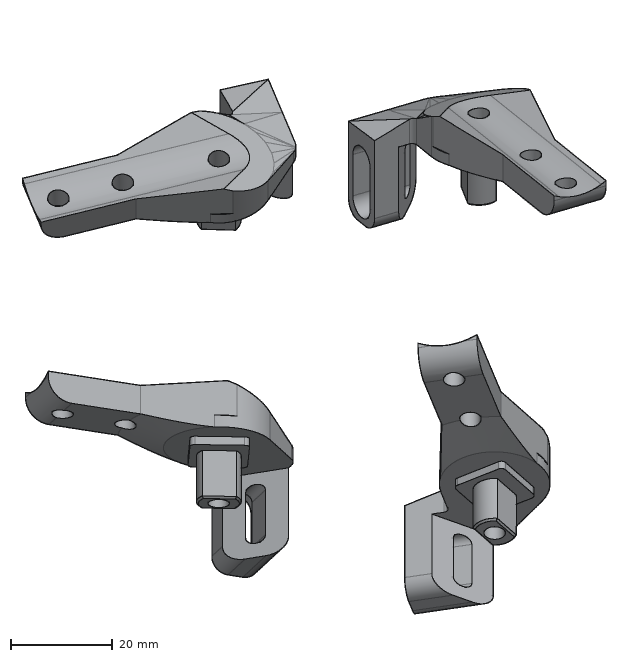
import cadquery as cq
import math


HEAD_R = 10.95
RIM_H = 2.55
ARM_HALF_W = 6.0
ARM_END_Y = -38.9
TAPER_START_Y = -0.6
TAPER_END_Y = -19.2
ARM_BOTTOM_Z = 2.0
CONE_END_R = 20.05
TIP_R = 5.0
TIP_CENTER_Z = ARM_BOTTOM_Z + TIP_R
HOLE_D = 4.25
HOLE_YS = (0, -20.0, -33.4)

PEAK_Y = -2.4
PEAK_Z = 10.1
HEAD_SLOPE = 0.405
GROOVE_ANGLE = math.radians(23.5)
GROOVE_R = 12.25
GROOVE_Z = 6.6

BRACKET_X = -20.05
BRACKET_BACK_Y = 16.75
BRACKET_W = 10.1
BRACKET_FRONT_Y = BRACKET_BACK_Y - BRACKET_W
BRACKET_MID_Y = BRACKET_BACK_Y - BRACKET_W / 2
BRACKET_BOTTOM_Z = -18.05
BRACKET_CORNER_R = 3.45
LEG_LENGTH = 5.55
BACK_CORNER_R = 4.0
INNER_CORNER_R = 1.0
SLOT_MID_Z = -8.75
SLOT_W = 3.0
SLOT_H = 12.6
RECESS_W = 6.6
RECESS_H = 16.0
RECESS_DEPTH = 5.0

TURN = -20
PLATE_SIDE = 11.8
PLATE_T = 1.8
PLATE_CORNER_R = 1.0
PEG_R = 4.45
PEG_ACROSS_FLATS = 5.8
PEG_BOTTOM_Z = -11.9
PEG_CHAMFER = 0.4

INNER_Z = 5.9
END_FRONT_Z = 3.05
BACK_Z = 2.7
FAN_STEP = 15

TALL = 55.7


def head_z(y):
    """Height of the sloping head top."""
    return PEAK_Z - HEAD_SLOPE * (y - PEAK_Y)


def head_rim(angle):
    """Point on the rim of the sloping head top, at an angle in degrees."""
    x = HEAD_R * math.cos(math.radians(angle))
    y = HEAD_R * math.sin(math.radians(angle))
    return (x, y, head_z(y))


def pillar(corners):
    """Upright triangular prism from Z = 0 up to the three given corners."""
    base = [cq.Vector(x, y, 0) for x, y, _ in corners]
    top = [cq.Vector(*corner) for corner in corners]
    faces = [cq.Face.makeFromWires(cq.Wire.makePolygon(loop, close=True)) for loop in (base, top)]
    for i in range(3):
        j = (i + 1) % 3
        side = [base[i], base[j], top[j], top[i]]
        faces.append(cq.Face.makeFromWires(cq.Wire.makePolygon(side, close=True)))
    return cq.Workplane(cq.Solid.makeSolid(cq.Shell.makeShell(faces)))


def make_arm():
    wide = math.sqrt(HEAD_R**2 - TAPER_START_Y**2)
    half = [(wide, TAPER_START_Y), (ARM_HALF_W, TAPER_END_Y), (ARM_HALF_W, ARM_END_Y)]
    mirrored = [(-x, y) for x, y in reversed(half)]
    arm = cq.Workplane().polyline(half + mirrored).close().extrude(PEAK_Z)
    head = (
        cq.Workplane()
        .moveTo(*half[0])
        .threePointArc((0, HEAD_R), mirrored[-1])
        .close()
        .extrude(PEAK_Z)
    )
    underside = (
        cq.Workplane("XZ")
        .polyline([
            (0, 0),
            (HEAD_R, 0),
            (CONE_END_R, ARM_BOTTOM_Z),
            (TALL, ARM_BOTTOM_Z),
            (TALL, TALL),
            (0, TALL),
        ])
        .close()
        .revolve(360, (0, 0), (0, 1))
    )
    profile = (
        cq.Workplane("YZ")
        .moveTo(HEAD_R, 0)
        .lineTo(HEAD_R, head_z(HEAD_R))
        .lineTo(PEAK_Y, PEAK_Z)
        .lineTo(ARM_END_Y, PEAK_Z)
        .lineTo(ARM_END_Y, TIP_CENTER_Z)
        .radiusArc((ARM_END_Y + TIP_R, ARM_BOTTOM_Z), -TIP_R)
        .lineTo(ARM_END_Y + TIP_R, 0)
        .close()
        .extrude(HEAD_R, both=True)
    )
    rim = cq.Workplane().circle(HEAD_R).extrude(RIM_H)
    return arm.intersect(underside).union(head).intersect(profile).union(rim)


def make_groove():
    tangent_x = GROOVE_R * math.sin(GROOVE_ANGLE)
    tangent_z = GROOVE_Z + GROOVE_R * (1 - math.cos(GROOVE_ANGLE))
    outer_x = 2 * HEAD_R
    outer_z = tangent_z + (outer_x - tangent_x) * math.tan(GROOVE_ANGLE)
    return (
        cq.Workplane("XZ")
        .moveTo(-outer_x, outer_z)
        .lineTo(-tangent_x, tangent_z)
        .threePointArc((0, GROOVE_Z), (tangent_x, tangent_z))
        .lineTo(outer_x, outer_z)
        .close()
        .extrude(TALL, both=True)
    )


def make_elbow():
    """Body joining the head to the bracket, with a faceted sloping top."""
    diagonal = HEAD_R * math.sqrt(0.5)
    back_corner_x = 2 * diagonal - BRACKET_BACK_Y
    outline = (
        cq.Workplane()
        .polyline([
            (BRACKET_X, BRACKET_FRONT_Y),
            (-HEAD_R, BRACKET_FRONT_Y),
            (-HEAD_R, 0),
            (0, 0),
            (diagonal, diagonal),
            (back_corner_x, BRACKET_BACK_Y),
            (BRACKET_X, BRACKET_BACK_Y),
        ])
        .close()
        .extrude(PEAK_Z)
    )
    inner_edge = cq.selectors.NearestToPointSelector((-HEAD_R, BRACKET_FRONT_Y, PEAK_Z / 2))
    back_edge = cq.selectors.NearestToPointSelector((back_corner_x, BRACKET_BACK_Y, PEAK_Z / 2))
    outline = outline.edges(inner_edge).fillet(INNER_CORNER_R)
    outline = outline.edges(back_edge).fillet(BACK_CORNER_R)

    front_y = BRACKET_FRONT_Y - INNER_CORNER_R
    inner = (-HEAD_R, front_y, INNER_Z)
    end_front = (BRACKET_X, front_y, END_FRONT_Z)
    end_back = (BRACKET_X, BRACKET_BACK_Y, BACK_Z)
    back_middle = (-HEAD_R, BRACKET_BACK_Y, BACK_Z)
    back_right = (back_corner_x, BRACKET_BACK_Y, BACK_Z)
    facets = [
        (inner, end_front, end_back),
        (inner, end_back, back_middle),
        (inner, back_middle, head_rim(135)),
        (head_rim(135), back_middle, back_right),
    ]
    for corner, first, last in [(back_right, 45, 135), (inner, 135, 180)]:
        for angle in range(first, last, FAN_STEP):
            facets.append((corner, head_rim(angle), head_rim(angle + FAN_STEP)))
    sloped = cq.Workplane().circle(HEAD_R).extrude(head_z(HEAD_R))
    for facet in facets:
        sloped = sloped.union(pillar(facet))
    return outline.intersect(sloped)


def make_leg():
    """Slotted bracket leg, cut off at 45 degrees on its inner side."""
    leg = (
        cq.Workplane()
        .polyline([
            (BRACKET_X, BRACKET_FRONT_Y),
            (BRACKET_X + LEG_LENGTH, BRACKET_FRONT_Y),
            (BRACKET_X + LEG_LENGTH + BRACKET_W, BRACKET_BACK_Y),
            (BRACKET_X, BRACKET_BACK_Y),
        ])
        .close()
        .extrude(BRACKET_BOTTOM_Z)
    )
    rounded = (
        cq.Workplane("YZ", origin=(BRACKET_X, BRACKET_MID_Y, BRACKET_BOTTOM_Z / 2))
        .rect(BRACKET_W, -BRACKET_BOTTOM_Z)
        .extrude(TALL)
        .edges("|X and <Z")
        .fillet(BRACKET_CORNER_R)
    )
    slot_plane = cq.Workplane("YZ", origin=(BRACKET_X, BRACKET_MID_Y, SLOT_MID_Z))
    slot = slot_plane.slot2D(SLOT_H, SLOT_W, 90).extrude(TALL)
    recess = slot_plane.slot2D(RECESS_H, RECESS_W, 90).extrude(RECESS_DEPTH)
    return leg.intersect(rounded).cut(slot).cut(recess)


def make_plate_and_peg():
    plate = (
        cq.Workplane()
        .rect(PLATE_SIDE, PLATE_SIDE)
        .extrude(-PLATE_T)
        .edges("|Z")
        .fillet(PLATE_CORNER_R)
    )
    flats = cq.Workplane().rect(PEG_ACROSS_FLATS, 2 * PEG_R).extrude(PEG_BOTTOM_Z)
    peg = (
        cq.Workplane()
        .circle(PEG_R)
        .extrude(PEG_BOTTOM_Z)
        .intersect(flats)
        .faces("<Z")
        .chamfer(PEG_CHAMFER)
    )
    return plate.union(peg).rotate((0, 0, 0), (0, 0, 1), TURN)


holes = (
    cq.Workplane()
    .pushPoints([(0, y) for y in HOLE_YS])
    .circle(HOLE_D / 2)
    .extrude(TALL, both=True)
)
result = (
    make_arm()
    .union(make_elbow())
    .cut(make_groove())
    .union(make_leg())
    .union(make_plate_and_peg())
    .cut(holes)
)